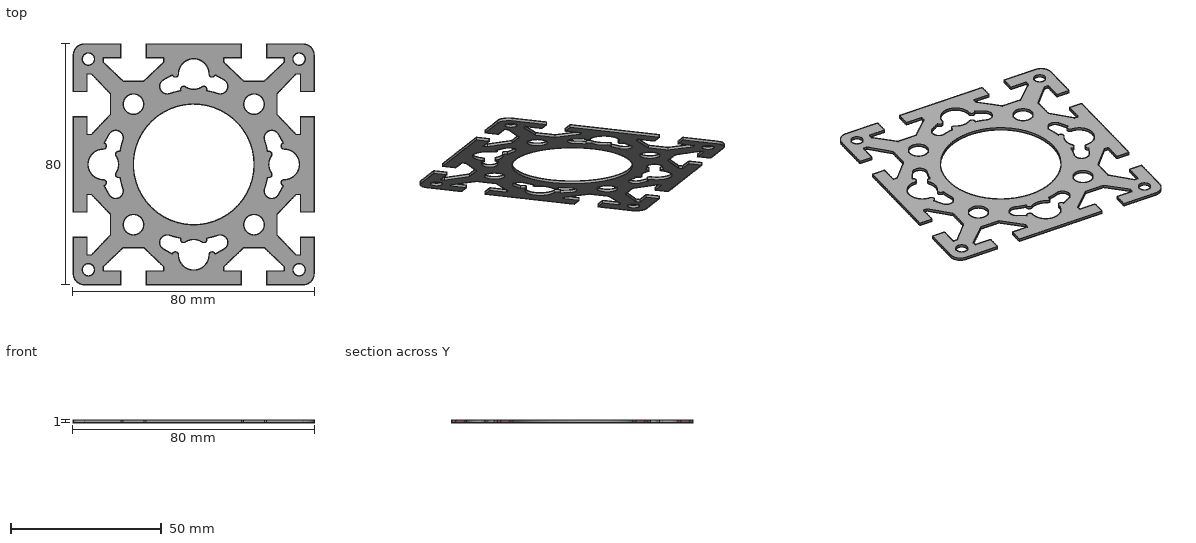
import cadquery as cq
import math

side = 80.0
thickness = 1.0
corner_radius = 3.8
half_side = side / 2

bore_diameter = 40.0
mount_hole_diameter = 6.7
mount_hole_offset = 20.0
corner_hole_diameter = 4.0
corner_hole_offset = 35.0

slot_offset = 20.0
slot_opening = 8.3
slot_lip = 4.6
slot_wide_width = 20.0
slot_wall = 1.4
slot_depth = 12.3
slot_floor_width = 6.9

lobe_radius = 5.0
lobe_distance = 30.0
bump_radius = 1.0
lower_bump_x = 3.4
arm_inner_radius = 24.9
arm_end_radius = 2.5
arm_end_x = 8.8
arm_edge_angle = math.radians(29)


def prism(sketch):
    """Extrude a closed outline through the plate."""
    return sketch.extrude(thickness)


def disc(x, y, radius):
    return prism(cq.Workplane("XY").center(x, y).circle(radius))


def around_plate(cutter):
    """Repeat a cutter on all four sides of the plate."""
    return [cutter.rotate((0, 0, 0), (0, 0, 1), 90 * turn) for turn in range(4)]


def t_slot(x):
    """T-slot open to the +Y edge, centred on the given x."""
    lip_y = half_side - slot_lip
    right_side = [
        (slot_opening / 2, half_side),
        (slot_opening / 2, lip_y),
        (slot_wide_width / 2, lip_y),
        (slot_wide_width / 2, lip_y - slot_wall),
        (slot_floor_width / 2, half_side - slot_depth),
    ]
    left_side = [(-px, py) for px, py in reversed(right_side)]
    outline = [(x + px, py) for px, py in right_side + left_side]
    return prism(cq.Workplane("XY").polyline(outline).close())


def window_arm():
    """Right-hand arm of the +Y window, with the two round bumps left standing in its mouth."""
    end_distance = arm_inner_radius + arm_end_radius
    end_y = math.sqrt(end_distance**2 - arm_end_x**2)
    inner_end_angle = math.atan2(end_y, arm_end_x)

    bump_distance = lobe_radius + bump_radius
    upper_bump = (bump_distance, lobe_distance)
    lower_bump = (lower_bump_x, lobe_distance - math.sqrt(bump_distance**2 - lower_bump_x**2))

    outer_start = (
        arm_end_x + arm_end_radius * math.sin(arm_edge_angle),
        end_y + arm_end_radius * math.cos(arm_edge_angle),
    )
    outer_rise = (outer_start[0] - upper_bump[0]) * math.tan(arm_edge_angle)
    outer_finish = (upper_bump[0], outer_start[1] + outer_rise)

    def on_inner_arc(angle):
        return (arm_inner_radius * math.cos(angle), arm_inner_radius * math.sin(angle))

    inner_start_angle = math.atan2(lower_bump[1], lower_bump[0])
    inner_middle_angle = (inner_start_angle + inner_end_angle) / 2
    arm = prism(
        cq.Workplane("XY")
        .moveTo(*outer_start)
        .lineTo(*outer_finish)
        .lineTo(*upper_bump)
        .lineTo(0, lobe_distance)
        .lineTo(*lower_bump)
        .lineTo(*on_inner_arc(inner_start_angle))
        .threePointArc(on_inner_arc(inner_middle_angle), on_inner_arc(inner_end_angle))
        .lineTo(arm_end_x, end_y)
        .close()
    )
    arm = arm.union(disc(arm_end_x, end_y, arm_end_radius))
    for bump in (upper_bump, lower_bump):
        arm = arm.cut(disc(*bump, bump_radius))
    return arm


def window():
    """Round lobe with a mirrored pair of arms."""
    arm = window_arm()
    return disc(0, lobe_distance, lobe_radius).union(arm).union(arm.mirror("YZ"))


def square_of_holes(plate, offset, diameter):
    """Drill one hole in each quadrant."""
    spacing = 2 * offset
    face = plate.faces(">Z").workplane(origin=(0, 0, 0))
    return face.rect(spacing, spacing, forConstruction=True).vertices().hole(diameter)


plate = cq.Workplane("XY").rect(side, side).extrude(thickness)
plate = plate.edges("|Z").fillet(corner_radius)
plate = plate.cut(disc(0, 0, bore_diameter / 2))
plate = square_of_holes(plate, mount_hole_offset, mount_hole_diameter)
plate = square_of_holes(plate, corner_hole_offset, corner_hole_diameter)

for side_cutter in (t_slot(-slot_offset), t_slot(slot_offset), window()):
    for cutter in around_plate(side_cutter):
        plate = plate.cut(cutter)

result = plate